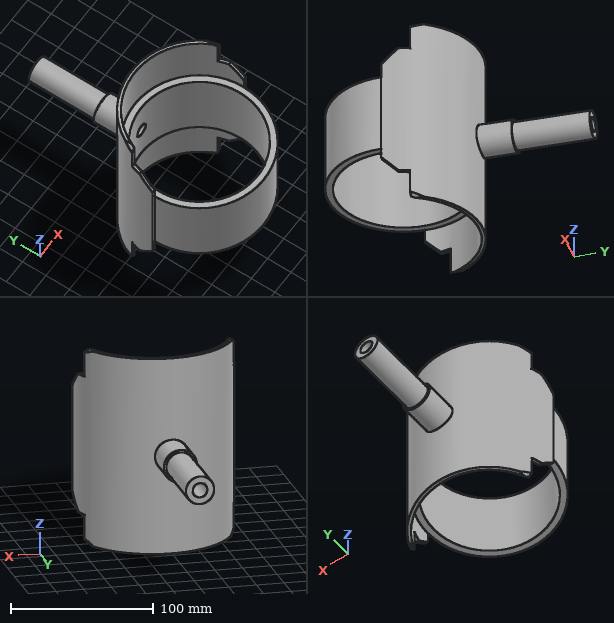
import cadquery as cq

ring_outer_radius = 55.0
ring_inner_radius = 49.5
ring_height = 60.0

saddle_inner_radius = ring_outer_radius
saddle_outer_radius = 57.75
saddle_height = 144.0
ear_step_y = 20.0
wing_height = 102.0
wing_chamfer = 12.0
corner_start_x = 50.0
corner_width = 5.0
corner_depth = 4.0

collar_radius = 12.0
collar_end_y = 82.0
spigot_radius = 10.2
spigot_end_y = 138.5
bore_radius = 5.25


def cylinder_along_y(radius, start_y, end_y):
    """Round bar on the Y axis between two Y positions."""
    plane = cq.Plane(origin=(0, start_y, 0), xDir=(-1, 0, 0), normal=(0, 1, 0))
    return cq.Workplane(plane).circle(radius).extrude(end_y - start_y)


def centred_tube(outer_radius, inner_radius, height):
    """Tube on the Z axis, centred on the XY plane."""
    base = cq.Workplane("XY", origin=(0, 0, -height / 2))
    return base.circle(outer_radius).circle(inner_radius).extrude(height)


def side_profile():
    """Saddle outline in the YZ plane, extruded across the full width."""
    half_height = saddle_height / 2
    half_wing = wing_height / 2
    upper_edge = [
        (0, half_wing - wing_chamfer),
        (wing_chamfer, half_wing),
        (ear_step_y, half_wing),
        (ear_step_y, half_height),
        (saddle_outer_radius, half_height),
    ]
    lower_edge = [(y, -z) for y, z in reversed(upper_edge)]
    outline = cq.Workplane("YZ").polyline(upper_edge + lower_edge).close()
    return outline.extrude(saddle_outer_radius, both=True)


def corner_cut(side_x, side_z):
    """Wedge that slopes one end corner of the saddle."""
    top = side_z * saddle_height / 2
    start = side_x * corner_start_x
    wedge = cq.Workplane("XZ").polyline([
        (start, top),
        (start + side_x * corner_width, top - side_z * corner_depth),
        (start + side_x * corner_width, top),
    ]).close()
    return wedge.extrude(-saddle_outer_radius)


def make_saddle():
    shell = centred_tube(saddle_outer_radius, saddle_inner_radius, saddle_height)
    saddle = shell.intersect(side_profile())
    for side_x in (-1, 1):
        for side_z in (-1, 1):
            saddle = saddle.cut(corner_cut(side_x, side_z))
    return saddle


def make_spigot():
    """Collar and spigot, passing through the saddle, trimmed to the ring surface."""
    collar = cylinder_along_y(collar_radius, 0, collar_end_y)
    spigot = cylinder_along_y(spigot_radius, 0, spigot_end_y)
    ring_space = cq.Workplane("XY").cylinder(ring_height, ring_outer_radius)
    return collar.union(spigot).cut(ring_space)


ring = centred_tube(ring_outer_radius, ring_inner_radius, ring_height)
bore = cylinder_along_y(bore_radius, 0, spigot_end_y)

result = ring.union(make_saddle()).union(make_spigot()).cut(bore)